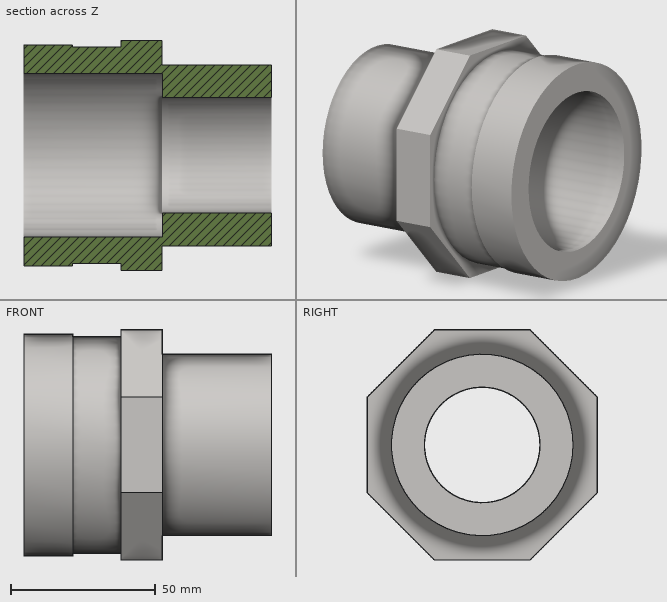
import cadquery as cq

total_length = 86.0
collar_length = 17.0
body_end = 33.7
octagon_end = 48.1

collar_diameter = 77.0
body_diameter = 75.3
octagon_across_flats = 80.0
octagon_sides = 8
spigot_diameter = 63.0

socket_diameter = 56.66
bore_diameter = 40.0
socket_depth = octagon_end


def cylinder_along_x(diameter, start, end):
    """Solid cylinder on the X axis between two stations."""
    return cq.Workplane("YZ", origin=(start, 0, 0)).circle(diameter / 2.0).extrude(end - start)


def octagon_along_x(across_flats, start, end):
    """Regular octagonal prism on the X axis with flats facing Y and Z."""
    return (
        cq.Workplane("YZ", origin=(start, 0, 0))
        .polygon(octagon_sides, across_flats, circumscribed=True)
        .extrude(end - start)
    )


def outer_body():
    """Stepped outside: collar, body, octagonal wrench grip and spigot."""
    collar = cylinder_along_x(collar_diameter, 0.0, collar_length)
    body = cylinder_along_x(body_diameter, collar_length, body_end)
    grip = octagon_along_x(octagon_across_flats, body_end, octagon_end)
    spigot = cylinder_along_x(spigot_diameter, octagon_end, total_length)
    return collar.union(body).union(grip).union(spigot)


def inner_passage():
    """Wide socket at the collar end stepping down to the through bore."""
    socket = cylinder_along_x(socket_diameter, 0.0, socket_depth)
    bore = cylinder_along_x(bore_diameter, 0.0, total_length)
    return socket.union(bore)


result = outer_body().cut(inner_passage())